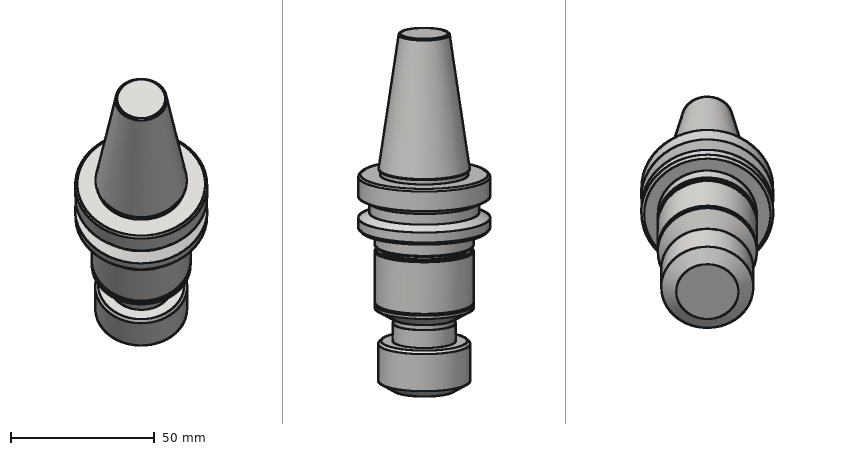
import cadquery as cq

TOTAL_LENGTH = 127.4
TAPER_LENGTH = 48.4
TAPER_RATIO = 7 / 24
GAUGE_RADIUS = 15.9
TIP_CHAMFER = 0.5
RELIEF_RADIUS = 15.4
RELIEF_CHAMFER = 0.5

FLANGE_RADIUS = 46.0 / 2
FLANGE_TOP = 77.0
FLANGE_HEIGHT = 20.0
FLANGE_CHAMFER = 0.8
FLANGE_BOTTOM_CHAMFER = 1.0
V_GROOVE_RADIUS = 38.3 / 2
V_GROOVE_CENTER = 65.4
V_GROOVE_MOUTH = 7.6
V_GROOVE_FLOOR = 3.8

BODY_RADIUS = 34.5 / 2
RING_GROOVE_RADIUS = 15.0
RING_GROOVE_TOP = 51.3
RING_GROOVE_BOTTOM = 50.1
BODY_EDGE_CHAMFER = 0.5
BAND_GROOVE_TOP = 31.1
BAND_GROOVE_WIDTH = 0.6
BAND_GROOVE_DEPTH = 0.3
BODY_CONE_TOP = 29.3
BODY_CONE_BOTTOM = 25.6

NECK_RADIUS = 22.0 / 2
NECK_GROOVE_RADIUS = 10.8
NECK_GROOVE_BOTTOM = 23.8
NUT_RADIUS = 16.0
NUT_TOP = 17.5
NUT_TOP_CHAMFER = 1.0
NUT_CONE_HEIGHT = 3.2
NUT_FACE_RADIUS = 10.8

gauge_z = TOTAL_LENGTH - TAPER_LENGTH
tip_radius = GAUGE_RADIUS - TAPER_LENGTH * TAPER_RATIO / 2
tip_edge_radius = tip_radius + TIP_CHAMFER * TAPER_RATIO / 2
flange_bottom = FLANGE_TOP - FLANGE_HEIGHT
body_edge_radius = BODY_RADIUS - BODY_EDGE_CHAMFER
band_radius = BODY_RADIUS - BAND_GROOVE_DEPTH
band_bottom = BAND_GROOVE_TOP - BAND_GROOVE_WIDTH

shank = [
    (0, TOTAL_LENGTH),
    (tip_radius - TIP_CHAMFER, TOTAL_LENGTH),
    (tip_edge_radius, TOTAL_LENGTH - TIP_CHAMFER),
    (GAUGE_RADIUS, gauge_z),
    (RELIEF_RADIUS, gauge_z - RELIEF_CHAMFER),
    (RELIEF_RADIUS, FLANGE_TOP),
]

flange = [
    (FLANGE_RADIUS - FLANGE_CHAMFER, FLANGE_TOP),
    (FLANGE_RADIUS, FLANGE_TOP - FLANGE_CHAMFER),
    (FLANGE_RADIUS, V_GROOVE_CENTER + V_GROOVE_MOUTH / 2),
    (V_GROOVE_RADIUS, V_GROOVE_CENTER + V_GROOVE_FLOOR / 2),
    (V_GROOVE_RADIUS, V_GROOVE_CENTER - V_GROOVE_FLOOR / 2),
    (FLANGE_RADIUS, V_GROOVE_CENTER - V_GROOVE_MOUTH / 2),
    (FLANGE_RADIUS, flange_bottom + FLANGE_BOTTOM_CHAMFER),
    (FLANGE_RADIUS - FLANGE_BOTTOM_CHAMFER, flange_bottom),
]

body = [
    (BODY_RADIUS, flange_bottom),
    (BODY_RADIUS, RING_GROOVE_TOP + BODY_EDGE_CHAMFER),
    (body_edge_radius, RING_GROOVE_TOP),
    (RING_GROOVE_RADIUS, RING_GROOVE_TOP),
    (RING_GROOVE_RADIUS, RING_GROOVE_BOTTOM),
    (body_edge_radius, RING_GROOVE_BOTTOM),
    (BODY_RADIUS, RING_GROOVE_BOTTOM - BODY_EDGE_CHAMFER),
    (BODY_RADIUS, BAND_GROOVE_TOP),
    (band_radius, BAND_GROOVE_TOP),
    (band_radius, band_bottom),
    (BODY_RADIUS, band_bottom),
    (BODY_RADIUS, BODY_CONE_TOP),
    (NECK_RADIUS, BODY_CONE_BOTTOM),
]

neck = [
    (NECK_GROOVE_RADIUS, BODY_CONE_BOTTOM),
    (NECK_GROOVE_RADIUS, NECK_GROOVE_BOTTOM),
    (NECK_RADIUS, NECK_GROOVE_BOTTOM),
    (NECK_RADIUS, NUT_TOP),
]

nut = [
    (NUT_RADIUS - NUT_TOP_CHAMFER, NUT_TOP),
    (NUT_RADIUS, NUT_TOP - NUT_TOP_CHAMFER),
    (NUT_RADIUS, NUT_CONE_HEIGHT),
    (NUT_FACE_RADIUS, 0),
    (0, 0),
]

outline = shank + flange + body + neck + nut
result = cq.Workplane("XZ").polyline(outline).close().revolve(360, (0, 0), (0, 1))